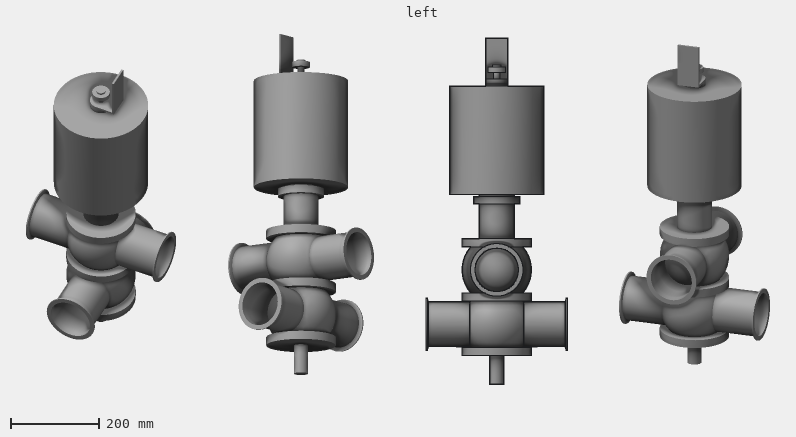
import cadquery as cq
import math

total_height = 783.0
overall_width = 320.0

rod_dia = 32.0
rod_length = 65.0
flange_dia = 157.5
flange_height = 19.0
flange_pitch = 123.0
flange_count = 3
ball_dia = flange_dia

pipe_dia = 102.0
bore_dia = 98.0
ferrule_dia = 119.0
ferrule_rim = 3.0
ferrule_taper = 2.0

neck_dia = 80.0
collar_dia = 105.0
collar_bottom = 408.0
collar_height = 16.5
actuator_dia = 214.0
actuator_bottom = 429.0
actuator_top = 674.5

boss_dia = 50.0
boss_height = 5.0
spacer_height = 7.0
plate_thickness = 5.0
plate_reach = 44.0
stem_dia = 16.0
knob_dia = 40.0
knob_bottom = 706.0
knob_height = 12.0
cap_dia = 19.5
cap_height = 5.0

half_width = overall_width / 2
flange_top = rod_length + (flange_count - 1) * flange_pitch + flange_height
lower_axis = rod_length + (flange_height + flange_pitch) / 2
upper_axis = lower_axis + flange_pitch
boss_top = actuator_top + boss_height
plate_bottom = boss_top + spacer_height
plate_top = plate_bottom + plate_thickness
knob_top = knob_bottom + knob_height


def disc(diameter, bottom, top):
    """Upright cylinder on the Z axis between two heights."""
    return cq.Workplane("XY").workplane(offset=bottom).circle(diameter / 2).extrude(top - bottom)


def chamber():
    """Ball cut flat where it meets the flanges above and below."""
    radius = ball_dia / 2
    half_gap = (flange_pitch - flange_height) / 2
    flat_radius = math.sqrt(radius**2 - half_gap**2)
    ball = (
        cq.Workplane("XZ")
        .moveTo(0, -half_gap)
        .lineTo(flat_radius, -half_gap)
        .threePointArc((radius, 0), (flat_radius, half_gap))
        .lineTo(0, half_gap)
        .close()
        .revolve(360, (0, 0, 0), (0, 1, 0))
    )
    return ball.rotate((0, 0, 0), (0, 0, 1), 45)


def branch_tube():
    """Tube along X with a tapered ferrule at each end."""
    rim_start = half_width - ferrule_rim
    taper_start = rim_start - ferrule_taper
    right_half = [
        (taper_start, pipe_dia / 2),
        (rim_start, ferrule_dia / 2),
        (half_width, ferrule_dia / 2),
        (half_width, bore_dia / 2),
    ]
    left_half = [(-x, y) for x, y in reversed(right_half)]
    return cq.Workplane("XY").polyline(right_half + left_half).close().revolve(360, (0, 0, 0), (1, 0, 0))


def chamber_with_branches():
    """Solid ball chamber closing the middle of its branch tube."""
    return branch_tube().union(chamber())


def make_valve():
    """Housing, pipe branches, neck and actuator as one body."""
    valve = disc(rod_dia, 0, rod_length)
    for index in range(flange_count):
        bottom = rod_length + index * flange_pitch
        valve = valve.union(disc(flange_dia, bottom, bottom + flange_height))
    for axis_height, turn in ((lower_axis, 90), (upper_axis, 0)):
        stage = chamber_with_branches().rotate((0, 0, 0), (0, 0, 1), turn)
        valve = valve.union(stage.translate((0, 0, axis_height)))
    valve = valve.union(disc(neck_dia, flange_top, actuator_bottom))
    valve = valve.union(disc(collar_dia, collar_bottom, collar_bottom + collar_height))
    valve = valve.union(disc(actuator_dia, actuator_bottom, actuator_top))
    return valve.union(disc(boss_dia, actuator_top, boss_top))


def make_indicator():
    """Spacer, round-ended angle plate and knob as one body."""
    radius = boss_dia / 2
    spacer = disc(boss_dia, boss_top, plate_bottom)
    foot = (
        cq.Workplane("XY")
        .workplane(offset=plate_bottom)
        .moveTo(plate_reach, -radius)
        .lineTo(0, -radius)
        .threePointArc((-radius, 0), (0, radius))
        .lineTo(plate_reach, radius)
        .close()
        .extrude(plate_thickness)
    )
    upright = cq.Workplane("XY").box(
        plate_thickness, boss_dia, total_height - plate_bottom, centered=(False, True, False)
    ).translate((plate_reach - plate_thickness, 0, plate_bottom))
    stem = disc(stem_dia, plate_top, knob_bottom)
    knob = disc(knob_dia, knob_bottom, knob_top)
    cap = disc(cap_dia, knob_top, knob_top + cap_height)
    return spacer.union(foot).union(upright).union(stem).union(knob).union(cap)


valve = make_valve()
indicator = make_indicator()

result = cq.Compound.makeCompound([valve.solids().val(), indicator.solids().val()])